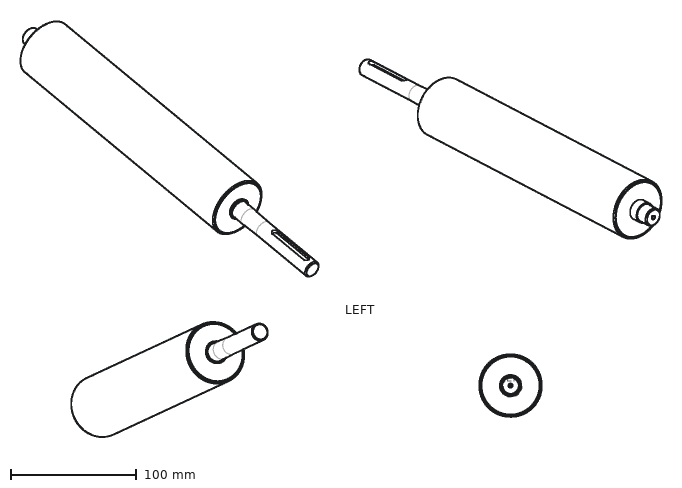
import cadquery as cq
import math


roller_start = 19.0
roller_length = 247.0
roller_end = roller_start + roller_length
cover_diameter = 50.0
cover_chamfer = 1.0
drum_diameter = 46.0

shaft_length = 361.0
bearing_seat_length = 11.0
collar_start = 267.5
collar_width = 0.5
drive_seat_start = collar_start + collar_width
drive_seat_end = drive_seat_start + bearing_seat_length
drive_end_start = 298.0

bearing_seat_diameter = 15.0
body_diameter = 17.0
collar_diameter = 18.0
drive_end_diameter = 14.0
shaft_chamfer = 1.0

key_width = 5.0
key_length = 45.0
key_depth = 3.0
key_end_margin = 5.5
key_centre = shaft_length - key_end_margin - key_length / 2

pilot_diameter = 1.6
pilot_depth = 4.0
mouth_diameter = 3.35
mouth_angle = 60.0
mouth_depth = (mouth_diameter - pilot_diameter) / 2 / math.tan(math.radians(mouth_angle / 2))


def cylinder(diameter, start, end):
    """Solid cylinder along X between two stations."""
    return cq.Workplane("YZ", origin=(start, 0, 0)).circle(diameter / 2).extrude(end - start)


def turned(stations):
    """Solid of revolution about X through a list of (station, diameter) pairs."""
    outline = [(x, diameter / 2) for x, diameter in stations]
    first_station = stations[0][0]
    last_station = stations[-1][0]
    profile = [(first_station, 0), *outline, (last_station, 0)]
    return cq.Workplane("XY").polyline(profile).close().revolve(360, (0, 0, 0), (1, 0, 0))


def make_cover():
    """Outer cover with both outside edges chamfered."""
    blank = cylinder(cover_diameter, roller_start, roller_end).faces("<X or >X").chamfer(cover_chamfer)
    return blank.cut(cylinder(drum_diameter, roller_start, roller_end))


def make_drum():
    """Drum that fills the cover and is bored for the shaft."""
    blank = cylinder(drum_diameter, roller_start, roller_end)
    return blank.cut(cylinder(body_diameter, roller_start, roller_end))


def make_keyway():
    """Round-ended cutter for the keyway."""
    floor_height = drive_end_diameter / 2 - key_depth
    return (
        cq.Workplane("XY", origin=(key_centre, 0, floor_height))
        .slot2D(key_length, key_width)
        .extrude(drive_end_diameter)
    )


def make_centre_hole():
    """Cutter for the centre hole."""
    return turned([
        (0, mouth_diameter),
        (mouth_depth, pilot_diameter),
        (pilot_depth, pilot_diameter),
    ])


def make_shaft():
    """Stepped shaft; it tapers from the drive-side bearing seat down to the drive end."""
    blank = turned([
        (0, bearing_seat_diameter - 2 * shaft_chamfer),
        (shaft_chamfer, bearing_seat_diameter),
        (bearing_seat_length, bearing_seat_diameter),
        (bearing_seat_length, body_diameter),
        (collar_start, body_diameter),
        (collar_start, collar_diameter),
        (drive_seat_start, collar_diameter),
        (drive_seat_start, bearing_seat_diameter),
        (drive_seat_end, bearing_seat_diameter),
        (drive_end_start, drive_end_diameter),
        (shaft_length - shaft_chamfer, drive_end_diameter),
        (shaft_length, drive_end_diameter - 2 * shaft_chamfer),
    ])
    return blank.cut(make_keyway()).cut(make_centre_hole())


cover = make_cover().solids()
drum = make_drum().solids()
shaft = make_shaft().solids()

result = cq.Compound.makeCompound([cover.val(), drum.val(), shaft.val()])